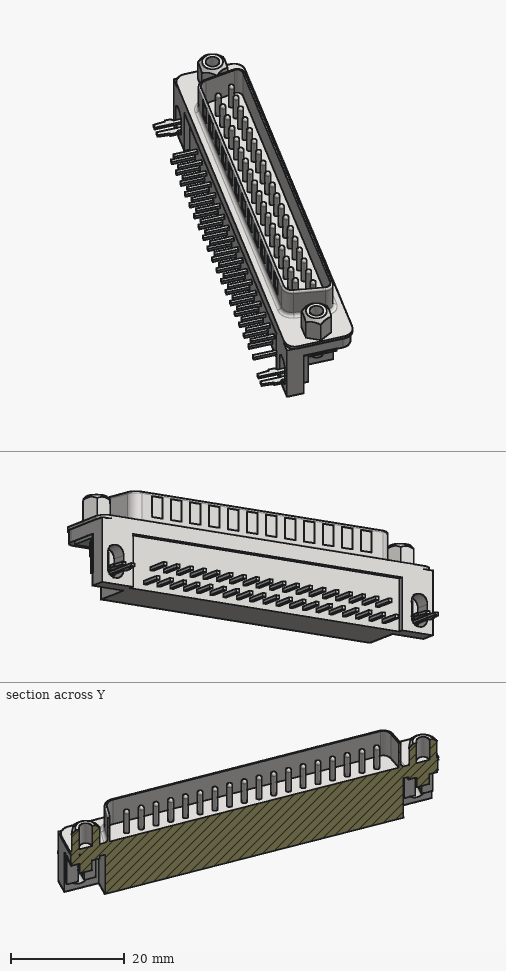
import cadquery as cq
import math


OVERALL_DEPTH = 16.76
OVERALL_HEIGHT = 18.26

FLANGE_LENGTH = 69.39
FLANGE_HALF_DEPTH = 6.28
FLANGE_THICKNESS = 0.6
FLANGE_CORNER_RADIUS = 2.0
JACKSCREW_SPACING = 63.5

SHELL_HEIGHT = 5.86
SHELL_HALF_DEPTH = 4.5
SHELL_MID_HALF_WIDTH = 27.65
SHELL_SIDE_ANGLE = math.radians(10)
SHELL_BACK_RADIUS = 1.5
SHELL_FRONT_RADIUS = 2.0
SHELL_WALL = 0.45
SHELL_RIM_RADIUS = 0.4
SHELL_FOOT_RADIUS = 0.7

DIMPLE_COUNT = 12
DIMPLE_PITCH = 3.97
DIMPLE_WIDTH = 2.17
DIMPLE_BOTTOM_Z = 1.46
DIMPLE_TOP_Z = 5.25
DIMPLE_DEPTH = 0.2

LONG_ROW_COUNT = 19
SHORT_ROW_COUNT = LONG_ROW_COUNT - 1
CONTACT_PITCH = 2.77
CONTACT_ROW_Y = 1.42
CONTACT_DIAMETER = 1.0
CONTACT_TIP_Z = 5.2
TAIL_SIZE = 0.62
TAIL_END_Y = -9.6
TAIL_SHORT_ROW_Z = -8.28
TAIL_LONG_ROW_Z = -11.0

BODY_LENGTH = 69.2
BODY_BOTTOM_Z = SHELL_HEIGHT - OVERALL_HEIGHT
BODY_FRONT_Y = -FLANGE_HALF_DEPTH
TOP_PLATE_BACK_Y = 5.95
TOP_PLATE_BOTTOM_Z = -2.95
FRONT_PLATE_BACK_Y = -3.15
BLOCK_WIDTH = 56.25
BLOCK_BACK_Y = 4.22
RECESS_TOP_Z = -2.75
RECESS_DEPTH = 1.0

SLOT_WIDTH = 3.3
SLOT_TOP_Z = -5.22
SLOT_BOTTOM_Z = -11.27
STRAP_WIDTH = 5.4
STRAP_TOP_THICKNESS = 0.62
STRAP_LEG_THICKNESS = 0.85
STRAP_BACK_Y = 2.95
STRAP_BOTTOM_Z = -9.9
SLIT_WIDTH = 1.15
SLIT_TOP_Z = -5.85
PRONG_THICKNESS = 0.5
PRONG_NECK_X = 1.3
PRONG_BARB_X = 1.75
PRONG_SHOULDER_X = 1.5
PRONG_BARB_START_Y = -6.7
PRONG_BARB_FULL_Y = -7.2
PRONG_BARB_END_Y = -8.3
PRONG_TIP_Y = FLANGE_HALF_DEPTH - OVERALL_DEPTH

HEX_ACROSS_FLATS = 4.7
HEX_HEIGHT = 4.8
HEX_TOP_RADIUS = 1.85
JACKSCREW_HOLE_DIAMETER = 2.4
STUD_DIAMETER = 2.4
STUD_BOTTOM_Z = -5.9


def box(x_range, y_range, z_range):
    """Axis-aligned box given by its limits along each axis."""
    (x0, x1), (y0, y1), (z0, z1) = x_range, y_range, z_range
    return cq.Workplane("XY").box(x1 - x0, y1 - y0, z1 - z0, centered=False).translate((x0, y0, z0))


def centered_row(count, pitch):
    """Positions of evenly pitched items centred on zero."""
    return [(i - (count - 1) / 2) * pitch for i in range(count)]


def d_prism(inset, bottom_z, top_z):
    """Rounded D-shaped prism, its sides moved inwards by the inset."""
    half_depth = SHELL_HALF_DEPTH - inset
    mid_half_width = SHELL_MID_HALF_WIDTH - inset / math.cos(SHELL_SIDE_ANGLE)
    lean = half_depth * math.tan(SHELL_SIDE_ANGLE)
    back_x = mid_half_width + lean
    front_x = mid_half_width - lean
    outline = [(-back_x, half_depth), (back_x, half_depth), (front_x, -half_depth), (-front_x, -half_depth)]
    prism = cq.Workplane("XY").workplane(offset=bottom_z).polyline(outline).close().extrude(top_z - bottom_z)
    prism = prism.edges("|Z and >Y").fillet(SHELL_BACK_RADIUS - inset)
    return prism.edges("|Z and <Y").fillet(SHELL_FRONT_RADIUS - inset)


def make_flange():
    return (
        cq.Workplane("XY")
        .box(FLANGE_LENGTH, 2 * FLANGE_HALF_DEPTH, FLANGE_THICKNESS, centered=(True, True, False))
        .edges("|Z")
        .fillet(FLANGE_CORNER_RADIUS)
        .translate((0, 0, -FLANGE_THICKNESS))
    )


def make_flange_with_shell():
    """Flange carrying the thin D-shaped shell with a flared foot, a rounded rim and front dimples."""
    outer = d_prism(0, -FLANGE_THICKNESS, SHELL_HEIGHT).faces(">Z").edges().fillet(SHELL_RIM_RADIUS)
    part = make_flange().union(outer)
    flange_top = part.faces("|Z").faces(">Z[1]")
    foot_wire = flange_top.val().innerWires()[0]
    part = part.newObject(foot_wire.Edges()).fillet(SHELL_FOOT_RADIUS)
    part = part.cut(d_prism(SHELL_WALL, 0, SHELL_HEIGHT))
    for x in centered_row(DIMPLE_COUNT, DIMPLE_PITCH):
        part = part.cut(box(
            (x - DIMPLE_WIDTH / 2, x + DIMPLE_WIDTH / 2),
            (-SHELL_HALF_DEPTH, -SHELL_HALF_DEPTH + DIMPLE_DEPTH),
            (DIMPLE_BOTTOM_Z, DIMPLE_TOP_Z),
        ))
    return part


def make_body():
    """Plastic body: top plate, front plate and central block, with a front recess and two slots."""
    half_length = BODY_LENGTH / 2
    half_block = BLOCK_WIDTH / 2
    body = box(
        (-half_length, half_length), (BODY_FRONT_Y, TOP_PLATE_BACK_Y), (TOP_PLATE_BOTTOM_Z, -FLANGE_THICKNESS)
    )
    body = body.edges("|Z and >Y").fillet(FLANGE_CORNER_RADIUS)
    body = body.union(box(
        (-half_length, half_length), (BODY_FRONT_Y, FRONT_PLATE_BACK_Y), (BODY_BOTTOM_Z, -FLANGE_THICKNESS)
    ))
    body = body.union(box(
        (-half_block, half_block), (BODY_FRONT_Y, BLOCK_BACK_Y), (BODY_BOTTOM_Z, -FLANGE_THICKNESS)
    ))
    body = body.cut(box(
        (-half_block, half_block), (BODY_FRONT_Y, BODY_FRONT_Y + RECESS_DEPTH), (BODY_BOTTOM_Z, RECESS_TOP_Z)
    ))
    slots = (
        cq.Workplane("XZ", origin=(0, FRONT_PLATE_BACK_Y, (SLOT_TOP_Z + SLOT_BOTTOM_Z) / 2))
        .pushPoints([(-JACKSCREW_SPACING / 2, 0), (JACKSCREW_SPACING / 2, 0)])
        .slot2D(SLOT_TOP_Z - SLOT_BOTTOM_Z, SLOT_WIDTH, 90)
        .extrude(FRONT_PLATE_BACK_Y - BODY_FRONT_Y)
    )
    return body.cut(slots)


def make_boardlock():
    """L-shaped strap under one ear, its slit leg ending in two barbed prongs; centred on x = 0."""
    half_strap = STRAP_WIDTH / 2
    half_slit = SLIT_WIDTH / 2
    leg_back_y = FRONT_PLATE_BACK_Y + STRAP_LEG_THICKNESS
    strap = box(
        (-half_strap, half_strap),
        (FRONT_PLATE_BACK_Y, STRAP_BACK_Y),
        (TOP_PLATE_BOTTOM_Z - STRAP_TOP_THICKNESS, TOP_PLATE_BOTTOM_Z),
    )
    leg_y = (FRONT_PLATE_BACK_Y, leg_back_y)
    leg = box((-half_strap, half_strap), leg_y, (STRAP_BOTTOM_Z, TOP_PLATE_BOTTOM_Z))
    slit = box((-half_slit, half_slit), leg_y, (STRAP_BOTTOM_Z, SLIT_TOP_Z))
    prong = (
        cq.Workplane("XY", origin=(0, 0, STRAP_BOTTOM_Z))
        .polyline([
            (half_slit, leg_back_y),
            (half_slit, PRONG_TIP_Y),
            (PRONG_NECK_X, PRONG_TIP_Y),
            (PRONG_SHOULDER_X, PRONG_BARB_END_Y),
            (PRONG_BARB_X, PRONG_BARB_END_Y),
            (PRONG_BARB_X, PRONG_BARB_FULL_Y),
            (PRONG_NECK_X, PRONG_BARB_START_Y),
            (PRONG_NECK_X, leg_back_y),
        ])
        .close()
        .extrude(PRONG_THICKNESS)
    )
    return strap.union(leg).cut(slit).union(prong).union(prong.mirror("YZ"))


def make_jackscrew():
    """Hexagonal standoff with a conical top chamfer, a blind hole and a stud; centred on x = 0."""
    corner_radius = HEX_ACROSS_FLATS / 2 / math.cos(math.pi / 6)
    chamfer = corner_radius - HEX_TOP_RADIUS
    hexagon = cq.Workplane("XY").polygon(6, 2 * corner_radius).extrude(HEX_HEIGHT)
    envelope = cq.Workplane("XY").circle(corner_radius).extrude(HEX_HEIGHT).faces(">Z").chamfer(chamfer)
    hole = cq.Workplane("XY").circle(JACKSCREW_HOLE_DIAMETER / 2).extrude(HEX_HEIGHT)
    stud = cq.Workplane("XY").circle(STUD_DIAMETER / 2).extrude(STUD_BOTTOM_Z)
    return hexagon.intersect(envelope).cut(hole).union(stud)


def add_contacts(part, count, row_y, tail_z):
    """Add one row of round domed contacts and their square solder tails."""
    radius = CONTACT_DIAMETER / 2
    half_tail = TAIL_SIZE / 2
    root_z = -FLANGE_THICKNESS
    recess_y = BODY_FRONT_Y + RECESS_DEPTH
    contact = cq.Workplane("XY").circle(radius).extrude(CONTACT_TIP_Z - radius - root_z)
    contact = contact.translate((0, row_y, root_z))
    contact = contact.union(cq.Workplane("XY").sphere(radius).translate((0, row_y, CONTACT_TIP_Z - radius)))
    tail = box((-half_tail, half_tail), (TAIL_END_Y, recess_y), (tail_z - half_tail, tail_z + half_tail))
    for x in centered_row(count, CONTACT_PITCH):
        part = part.union(contact.translate((x, 0, 0))).union(tail.translate((x, 0, 0)))
    return part


result = make_flange_with_shell().union(make_body())
for side in (-1, 1):
    ear_x = side * JACKSCREW_SPACING / 2
    result = result.union(make_boardlock().translate((ear_x, 0, 0)))
    result = result.union(make_jackscrew().translate((ear_x, 0, 0)))
result = add_contacts(result, LONG_ROW_COUNT, CONTACT_ROW_Y, TAIL_LONG_ROW_Z)
result = add_contacts(result, SHORT_ROW_COUNT, -CONTACT_ROW_Y, TAIL_SHORT_ROW_Z)